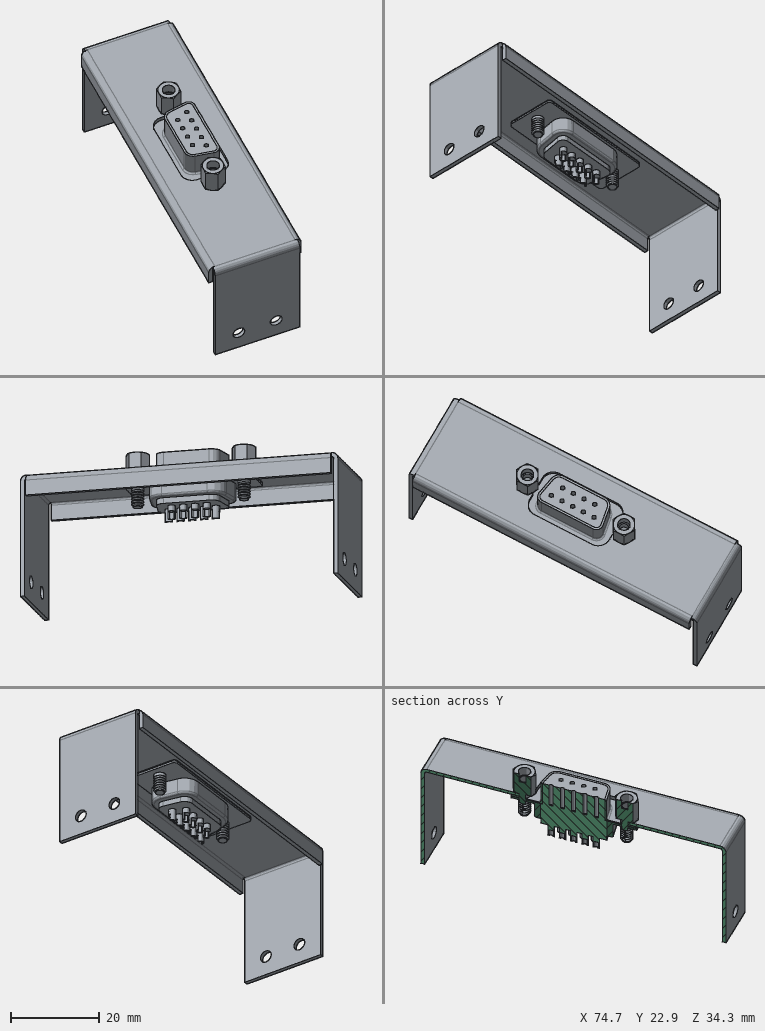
import cadquery as cq
import math

LENGTH = 74.7
WIDTH = 22.9
SHEET = 1.0
BEND = 1.5
LEG_DEPTH = 28.5
LIP_DEPTH = 5.0
LEG_HOLE_DIAMETER = 2.9
LEG_HOLE_SPACING = 9.25
LEG_HOLE_RISE = 4.85

CONNECTOR_CENTRE = (-0.1, -0.1, 0)
CUTOUT_LENGTH = 20.5
CUTOUT_WIDTH = 11.5
CUTOUT_RADIUS = 2.85

D_DEPTH = 8.0
D_BACK_HALF = 8.6
D_SIDE_ANGLE = 10.0
D_BACK_RADIUS = 1.6
D_FRONT_RADIUS = 2.2

SHELL = 0.5
FLANGE_LENGTH = 30.8
FLANGE_WIDTH = 12.5
FLANGE_RADIUS = 1.0
FACE_TOP = 4.85
SHELL_FLARE = 0.45
CUP_GROW = 1.6
CUP_BOTTOM = -5.9
CUP_FILLET = 0.5
BLOCK_BOTTOM = -7.25

PITCH = 2.8
ROW_SPACING = 2.85
BACK_ROW_COUNT = 5
FRONT_ROW_COUNT = 4
SOCKET_DIAMETER = 1.0
SOCKET_DEPTH = 6.0
TAIL_DIAMETER = 1.7
TAIL_BOTTOM = -10.2
SOLDER_CUP_TOP = -8.6
SOLDER_CUP_BORE = 1.05

SCREW_SPACING = 25.0
HEX_FLATS = 4.85
HEX_TOP = 5.8
HEX_CHAMFER_ANGLE = 30.0
STUD_DIAMETER = 2.85
STUD_ROOT_DIAMETER = 2.1
STUD_BOTTOM = -6.6
THREAD_PITCH = 0.635
THREAD_COUNT = 6
BORE_DIAMETER = 2.85
BORE_DEPTH = 2.25
DRILL_DIAMETER = 2.2
DRILL_DEPTH = 4.5
DRILL_TIP_ANGLE = 118.0

PLATE_BOTTOM = -SHEET
FRONT_FLANGE_BOTTOM = PLATE_BOTTOM - SHELL
REAR_FLANGE_BOTTOM = FRONT_FLANGE_BOTTOM - SHELL
STUD_POINTS = [(-SCREW_SPACING / 2, 0), (SCREW_SPACING / 2, 0)]


def prism(outline, bottom, top):
    """Extrude an outline drawn at z = 0 so that it fills bottom to top."""
    return outline.extrude(top - bottom).translate((0, 0, bottom))


def bent_channel(span, depth, width):
    """Downward channel of bent sheet: legs at +-span/2 along X, width along Y."""
    outer = (
        cq.Workplane("XY")
        .box(span, width, depth, centered=(True, True, False))
        .translate((0, 0, -depth))
        .edges("|Y and >Z")
        .fillet(BEND)
    )
    inner = (
        cq.Workplane("XY")
        .box(span - 2 * SHEET, width, depth - SHEET, centered=(True, True, False))
        .translate((0, 0, -depth))
        .edges("|Y and >Z")
        .fillet(BEND - SHEET)
    )
    return outer.cut(inner)


def make_bracket():
    leg_channel = bent_channel(LENGTH, LEG_DEPTH, WIDTH - 2 * SHEET)
    lip_channel = bent_channel(WIDTH, LIP_DEPTH, LENGTH - 2 * BEND).rotate((0, 0, 0), (0, 0, 1), 90)
    middle = cq.Workplane("XY").box(LENGTH - 2 * BEND, WIDTH, 2 * LEG_DEPTH)
    bracket = lip_channel.union(leg_channel.cut(middle))

    window = prism(cq.Workplane("XY").rect(CUTOUT_LENGTH, CUTOUT_WIDTH), PLATE_BOTTOM, 0)
    window = window.edges("|Z").fillet(CUTOUT_RADIUS)
    screw_slot = prism(
        cq.Workplane("XY").slot2D(SCREW_SPACING + STUD_DIAMETER, STUD_DIAMETER), PLATE_BOTTOM, 0
    )
    leg_holes = (
        cq.Workplane("YZ")
        .pushPoints([(side * LEG_HOLE_SPACING / 2, LEG_HOLE_RISE - LEG_DEPTH) for side in (-1, 1)])
        .circle(LEG_HOLE_DIAMETER / 2)
        .extrude(LENGTH / 2, both=True)
    )
    opening = window.union(screw_slot).translate(CONNECTOR_CENTRE)
    return bracket.cut(opening).cut(leg_holes)


def d_prism(grow, bottom, top):
    """Prism on the D outline moved outward by grow (inward when negative)."""
    front_half = D_BACK_HALF - D_DEPTH * math.tan(math.radians(D_SIDE_ANGLE))
    corners = [
        (-front_half, -D_DEPTH / 2),
        (front_half, -D_DEPTH / 2),
        (D_BACK_HALF, D_DEPTH / 2),
        (-D_BACK_HALF, D_DEPTH / 2),
    ]
    block = cq.Workplane("XY").polyline(corners).close().extrude(0.75)
    block = block.edges("|Z and >Y").fillet(D_BACK_RADIUS)
    block = block.edges("|Z and <Y").edges("<X or >X").fillet(D_FRONT_RADIUS)
    outline = cq.Workplane("XY").add(block.faces("<Z").wires().val()).toPending()
    if grow:
        outline = outline.offset2D(grow)
    return prism(outline, bottom, top)


def flange(bottom, top):
    """Mounting flange with rounded corners and the two screw holes."""
    plate = prism(cq.Workplane("XY").rect(FLANGE_LENGTH, FLANGE_WIDTH), bottom, top)
    plate = plate.edges("|Z").fillet(FLANGE_RADIUS)
    holes = prism(cq.Workplane("XY").pushPoints(STUD_POINTS).circle(STUD_DIAMETER / 2), bottom, top)
    return plate.cut(holes)


def make_front_shell():
    plate = flange(FRONT_FLANGE_BOTTOM, PLATE_BOTTOM)
    tube = d_prism(0, FRONT_FLANGE_BOTTOM, FACE_TOP)
    shell = plate.union(tube)
    foot = cq.selectors.BoxSelector(
        (-D_BACK_HALF, -D_DEPTH, PLATE_BOTTOM - SHELL / 4),
        (D_BACK_HALF, D_DEPTH, PLATE_BOTTOM + SHELL / 4),
    )
    shell = shell.edges(foot).fillet(SHELL_FLARE)
    return shell.cut(d_prism(-SHELL, FRONT_FLANGE_BOTTOM, FACE_TOP))


def make_rear_shell():
    plate = flange(REAR_FLANGE_BOTTOM, FRONT_FLANGE_BOTTOM)
    cup = d_prism(CUP_GROW, CUP_BOTTOM, FRONT_FLANGE_BOTTOM).faces("<Z").edges().fillet(CUP_FILLET)
    return plate.union(cup).cut(d_prism(0, CUP_BOTTOM, FRONT_FLANGE_BOTTOM))


def row_points(count, y):
    return [((index - (count - 1) / 2) * PITCH, y) for index in range(count)]


def solder_tail(x, y):
    """Contact tail whose lower part is a half-round cup, open away from the other row."""
    tail = prism(cq.Workplane("XY").circle(TAIL_DIAMETER / 2), TAIL_BOTTOM, BLOCK_BOTTOM)
    bore = prism(cq.Workplane("XY").circle(SOLDER_CUP_BORE / 2), TAIL_BOTTOM, SOLDER_CUP_TOP)
    opening = prism(
        cq.Workplane("XY")
        .center(0, math.copysign(TAIL_DIAMETER / 2, y))
        .rect(TAIL_DIAMETER, TAIL_DIAMETER),
        TAIL_BOTTOM,
        SOLDER_CUP_TOP,
    )
    return tail.cut(bore).cut(opening).translate((x, y, 0))


def make_insulator():
    """Moulded block with its contacts: sockets in the face, solder tails behind."""
    contacts = row_points(BACK_ROW_COUNT, ROW_SPACING / 2) + row_points(FRONT_ROW_COUNT, -ROW_SPACING / 2)
    block = d_prism(-SHELL, FRONT_FLANGE_BOTTOM, FACE_TOP)
    block = block.union(d_prism(0, BLOCK_BOTTOM, FRONT_FLANGE_BOTTOM))
    sockets = prism(
        cq.Workplane("XY").pushPoints(contacts).circle(SOCKET_DIAMETER / 2), FACE_TOP - SOCKET_DEPTH, FACE_TOP
    )
    block = block.cut(sockets)
    for x, y in contacts:
        block = block.union(solder_tail(x, y))
    return block


def hex_head():
    """Hexagonal standoff with both ends turned down to the flats."""
    corner_radius = HEX_FLATS / math.sqrt(3)
    flat_radius = HEX_FLATS / 2
    drop = (corner_radius - flat_radius) * math.tan(math.radians(HEX_CHAMFER_ANGLE))
    hexagon = prism(cq.Workplane("XY").polygon(6, 2 * corner_radius), 0, HEX_TOP)
    turned = (
        cq.Workplane("XZ")
        .polyline([
            (0, 0),
            (flat_radius, 0),
            (corner_radius, drop),
            (corner_radius, HEX_TOP - drop),
            (flat_radius, HEX_TOP),
            (0, HEX_TOP),
        ])
        .close()
        .revolve(360, (0, 0), (0, 1))
    )
    return hexagon.intersect(turned)


def threaded_stud():
    """Plain shank through the sheets, then V threads down to a root-size end."""
    crest = STUD_DIAMETER / 2
    root = STUD_ROOT_DIAMETER / 2
    thread_bottom = STUD_BOTTOM + THREAD_PITCH / 2
    profile = [(0, STUD_BOTTOM), (root, STUD_BOTTOM)]
    for index in range(THREAD_COUNT):
        root_level = thread_bottom + index * THREAD_PITCH
        profile += [(root, root_level), (crest, root_level + THREAD_PITCH / 2)]
    profile += [(crest, 0), (0, 0)]
    return cq.Workplane("XZ").polyline(profile).close().revolve(360, (0, 0), (0, 1))


def female_bore():
    """Wide mouth, then a drilled hole with a conical bottom."""
    mouth_level = HEX_TOP - BORE_DEPTH
    drill_level = HEX_TOP - DRILL_DEPTH
    tip_height = DRILL_DIAMETER / 2 / math.tan(math.radians(DRILL_TIP_ANGLE / 2))
    return (
        cq.Workplane("XZ")
        .polyline([
            (0, HEX_TOP),
            (BORE_DIAMETER / 2, HEX_TOP),
            (BORE_DIAMETER / 2, mouth_level),
            (DRILL_DIAMETER / 2, mouth_level),
            (DRILL_DIAMETER / 2, drill_level),
            (0, drill_level - tip_height),
        ])
        .close()
        .revolve(360, (0, 0), (0, 1))
    )


def make_jackscrew(x, y):
    return hex_head().union(threaded_stud()).cut(female_bore()).translate((x, y, 0))


bracket = make_bracket()
front_shell = make_front_shell().translate(CONNECTOR_CENTRE)
rear_shell = make_rear_shell().translate(CONNECTOR_CENTRE)
insulator = make_insulator().translate(CONNECTOR_CENTRE)
jackscrews = [make_jackscrew(x, y).translate(CONNECTOR_CENTRE) for x, y in STUD_POINTS]

result = cq.Compound.makeCompound([
    bracket.val(),
    front_shell.val(),
    rear_shell.val(),
    insulator.val(),
    *[jackscrew.val() for jackscrew in jackscrews],
])